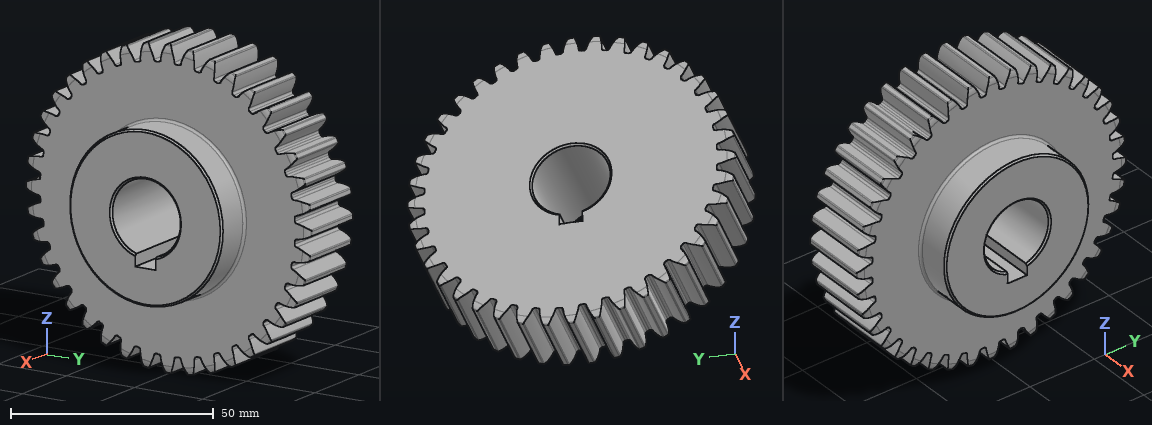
import cadquery as cq
import math


tip_diameter = 84.0
tooth_count = 40
pressure_angle = math.radians(20)
dedendum_factor = 1.25
face_width = 20.0
hub_length = 10.0
hub_diameter = 45.0
hub_chamfer = 0.5
hub_root_fillet = 0.7
bore_diameter = 20.0
bore_chamfer = 0.5
key_width = 6.0
key_depth = 12.8
end_relief_height = 2.0
end_relief_length = 0.5
tooth_root_fillet = 0.7
tip_fillet = 0.3

flank_points = 8
cutter_overshoot = 0.4
rim_thickness = 0.8
top_land_tolerance = 0.1

module = tip_diameter / (tooth_count + 2)
pitch_radius = module * tooth_count / 2
base_radius = pitch_radius * math.cos(pressure_angle)
tip_radius = tip_diameter / 2
root_radius = pitch_radius - dedendum_factor * module
tooth_pitch_degrees = 360 / tooth_count

end_relief_radius = (end_relief_height ** 2 + end_relief_length ** 2) / (2 * end_relief_length)
cutter_radius = tip_radius + cutter_overshoot
core_radius = root_radius - rim_thickness
bore_radius = bore_diameter / 2
hub_radius = hub_diameter / 2
total_length = face_width + hub_length


def turn_about_axis(body, degrees):
    return body.rotate((0, 0, 0), (1, 0, 0), degrees)


def involute(angle):
    return math.tan(angle) - angle


def space_half_angle(radius):
    """Half the angle of the tooth space at a radius on the involute flank."""
    local_pressure_angle = math.acos(base_radius / radius)
    half_angle_at_pitch = math.pi / (2 * tooth_count)
    return half_angle_at_pitch + involute(local_pressure_angle) - involute(pressure_angle)


def flank(side):
    """(Y, Z) points up one flank of a tooth space centred on +Z, side being -1 or +1."""
    points = []
    for i in range(flank_points):
        radius = base_radius + (cutter_radius - base_radius) * i / (flank_points - 1)
        angle = side * space_half_angle(radius)
        points.append((radius * math.sin(angle), radius * math.cos(angle)))
    return points


def make_rim_blank():
    """Disc at the tip diameter; its ends curve back over the tooth height."""
    return (
        cq.Workplane("XY")
        .lineTo(0, tip_radius - end_relief_height)
        .radiusArc((end_relief_length, tip_radius), end_relief_radius)
        .lineTo(face_width - end_relief_length, tip_radius)
        .radiusArc((face_width, tip_radius - end_relief_height), end_relief_radius)
        .lineTo(face_width, 0)
        .close()
        .revolve(360, (0, 0, 0), (1, 0, 0))
    )


def make_core():
    """Solid body inside the teeth, with the chamfered hub and its root fillet."""
    return (
        cq.Workplane("XY")
        .lineTo(0, core_radius)
        .lineTo(face_width, core_radius)
        .lineTo(face_width, hub_radius + hub_root_fillet)
        .radiusArc((face_width + hub_root_fillet, hub_radius), -hub_root_fillet)
        .lineTo(total_length - hub_chamfer, hub_radius)
        .lineTo(total_length, hub_radius - hub_chamfer)
        .lineTo(total_length, 0)
        .close()
        .revolve(360, (0, 0, 0), (1, 0, 0))
    )


def make_tooth_space():
    """Cutter for one tooth space centred on +Z, with rounded root corners."""
    left = flank(-1)
    right = flank(1)
    root_angle = space_half_angle(base_radius)
    root_y = root_radius * math.sin(root_angle)
    root_z = root_radius * math.cos(root_angle)
    space = (
        cq.Workplane("YZ")
        .moveTo(-root_y, root_z)
        .threePointArc((0, root_radius), (root_y, root_z))
        .lineTo(*right[0])
        .spline(right[1:], includeCurrent=True)
        .lineTo(*left[-1])
        .spline(left[-2::-1], includeCurrent=True)
        .close()
        .extrude(face_width)
    )
    return space.edges("|X").edges("<Z").fillet(tooth_root_fillet)


def top_land_edges(tooth):
    """Edges around the top land of a tooth."""
    inner_limit = tip_radius - top_land_tolerance
    edges = tooth.edges().vals()
    return [edge for edge in edges if math.hypot(edge.Center().y, edge.Center().z) > inner_limit]


def make_tooth():
    """One tooth centred on +Z with half a space on each side and the rim below it."""
    half_width = cutter_radius * math.tan(math.pi / tooth_count)
    wedge = (
        cq.Workplane("YZ")
        .lineTo(-half_width, cutter_radius)
        .lineTo(half_width, cutter_radius)
        .close()
        .extrude(face_width)
    )
    inner_disc = cq.Workplane("YZ").circle(core_radius).extrude(face_width)
    tooth = make_rim_blank().intersect(wedge).cut(inner_disc)
    space = make_tooth_space()
    for side in (-1, 1):
        tooth = tooth.cut(turn_about_axis(space, side * tooth_pitch_degrees / 2))
    return tooth.newObject(top_land_edges(tooth)).fillet(tip_fillet)


def make_bore():
    """Bore chamfered at both ends, with a keyway on the -Z side."""
    mouth_radius = bore_radius + bore_chamfer
    bore = (
        cq.Workplane("XY")
        .lineTo(0, mouth_radius)
        .lineTo(bore_chamfer, bore_radius)
        .lineTo(total_length - bore_chamfer, bore_radius)
        .lineTo(total_length, mouth_radius)
        .lineTo(total_length, 0)
        .close()
        .revolve(360, (0, 0, 0), (1, 0, 0))
    )
    keyway = cq.Workplane("XY").box(total_length, key_width, key_depth, centered=(False, True, False))
    return bore.union(keyway.translate((0, 0, -key_depth)))


tooth = make_tooth()
teeth = [turn_about_axis(tooth, i * tooth_pitch_degrees).val() for i in range(tooth_count)]
core = make_core().cut(make_bore())
gear = core.val().fuse(*teeth).clean()
result = cq.Workplane(obj=gear).solids()